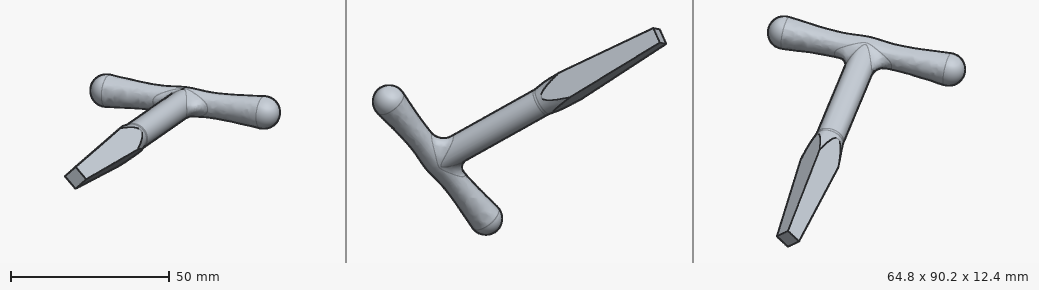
import cadquery as cq
import math

handle_length = 64.8
end_radius = 5.2
grip_end_angle = 4.5
waist_distance = 9.0
waist_radius = 4.1
barrel_radius = 4.6
joint_fillet = 5.0

overall_length = 90.2
shaft_radius = 4.5
cone_start = 39.9
blade_widest = 50.7
blade_half_diagonal = 6.2
tip_half_diagonal = 3.7
cone_fillet = 5.4

tip_distance = overall_length - end_radius


def make_handle():
    """Turn the handle profile, ball to ball, around the X axis."""
    flare = math.radians(grip_end_angle)
    half_length = handle_length / 2
    ball_centre = half_length - end_radius
    grip_end = ball_centre - end_radius * math.sin(flare)
    grip_end_radius = end_radius * math.cos(flare)
    ball_middle = ball_centre + end_radius * math.sqrt(0.5)
    ball_middle_radius = end_radius * math.sqrt(0.5)

    grip_points = [
        (-grip_end, grip_end_radius),
        (-waist_distance, waist_radius),
        (0, barrel_radius),
        (waist_distance, waist_radius),
        (grip_end, grip_end_radius),
    ]
    level = (1, 0)
    grip_directions = [
        (math.cos(flare), -math.sin(flare)),
        level,
        level,
        level,
        (math.cos(flare), math.sin(flare)),
    ]
    profile = (
        cq.Workplane("XY")
        .moveTo(-half_length, 0)
        .threePointArc((-ball_middle, ball_middle_radius), grip_points[0])
        .spline(grip_points[1:], tangents=grip_directions, includeCurrent=True)
        .threePointArc((ball_middle, ball_middle_radius), (half_length, 0))
        .close()
    )
    return profile.revolve(360, (0, 0, 0), (1, 0, 0))


def make_round_spindle():
    """Shaft and cone; the cone keeps widening up to the tip."""
    cone_slope = (blade_half_diagonal - shaft_radius) / (blade_widest - cone_start)
    cone_end_radius = shaft_radius + cone_slope * (tip_distance - cone_start)
    spindle = (
        cq.Workplane("XY")
        .lineTo(shaft_radius, 0)
        .lineTo(shaft_radius, -cone_start)
        .lineTo(cone_end_radius, -tip_distance)
        .lineTo(0, -tip_distance)
        .close()
        .revolve(360, (0, 0, 0), (0, 1, 0))
    )
    cone_corner = cq.selectors.NearestToPointSelector((-shaft_radius, -cone_start, 0))
    return spindle.edges(cone_corner).fillet(cone_fillet)


def square_on_corner(half_diagonal):
    return [(half_diagonal, 0), (0, half_diagonal), (-half_diagonal, 0), (0, -half_diagonal)]


def make_square_taper():
    """Square pyramid stump from the handle axis to the tip, wider than the shaft at its start."""
    taper_slope = (blade_half_diagonal - tip_half_diagonal) / (tip_distance - blade_widest)
    start_half_diagonal = tip_half_diagonal + taper_slope * tip_distance
    return (
        cq.Workplane("XZ")
        .polyline(square_on_corner(start_half_diagonal))
        .close()
        .workplane(offset=tip_distance)
        .polyline(square_on_corner(tip_half_diagonal))
        .close()
        .loft(ruled=True)
    )


def fillet_joint(body):
    """Round the closed edge where the shaft leaves the handle."""
    joint_region = cq.selectors.BoxSelector(
        (-waist_distance, -2 * barrel_radius, -barrel_radius),
        (waist_distance, 0, barrel_radius),
    )
    return body.edges(joint_region).fillet(joint_fillet)


spindle = make_round_spindle().intersect(make_square_taper())
result = fillet_joint(make_handle().union(spindle))